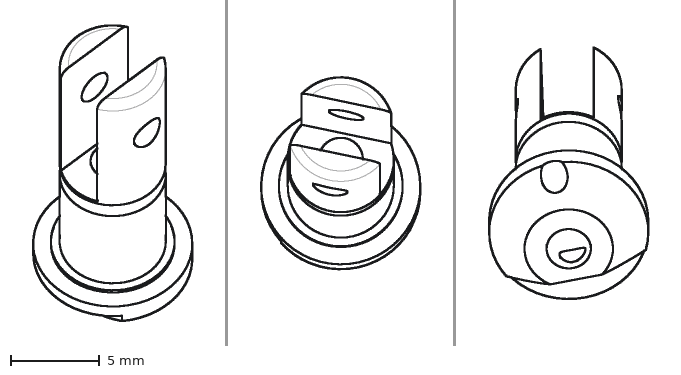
import cadquery as cq

total_height = 20.0
shaft_diameter = 6.0
shaft_radius = shaft_diameter / 2
top_fillet = 0.5
bore_diameter = 2.5

flange_diameter = 9.0
foot_chamfer = 2.0
flange_top = 3.4
shoulder_diameter = 7.0
shoulder_height = 0.2

flat_offset = 2.0
flat_height = 2.5
foot_hole_diameter = 1.5
foot_hole_z = 1.5

slot_width = 3.0
slot_floor = 11.0
fork_angle = 10.0
pin_diameter = 2.0
pin_z = 16.4

groove_bottom = 9.8
groove_width = 1.0
groove_top = groove_bottom + groove_width
groove_depth = 0.4


def cylinder(diameter, bottom, top):
    return cq.Workplane("XY").workplane(offset=bottom).circle(diameter / 2).extrude(top - bottom)


def make_body():
    foot = cylinder(flange_diameter, 0, flange_top).faces("<Z").chamfer(foot_chamfer)
    shoulder = cylinder(shoulder_diameter, foot_chamfer, flange_top + shoulder_height)
    shaft = cylinder(shaft_diameter, foot_chamfer, total_height).faces(">Z").edges().fillet(top_fillet)
    return foot.union(shoulder).union(shaft)


def make_groove():
    return (
        cq.Workplane("XZ")
        .moveTo(shaft_radius, groove_bottom)
        .threePointArc(
            (shaft_radius - groove_depth, groove_bottom + groove_width / 2),
            (shaft_radius, groove_top),
        )
        .close()
        .revolve(360, (0, 0, 0), (0, 1, 0))
    )


def make_foot_flat():
    return (
        cq.Workplane("XY")
        .box(flange_diameter, flange_diameter, flat_height, centered=(True, False, False))
        .translate((0, -flat_offset - flange_diameter, 0))
    )


def make_foot_hole():
    hole = cq.Workplane("XZ").center(0, foot_hole_z).circle(foot_hole_diameter / 2)
    return hole.extrude(flange_diameter, both=True)


def make_fork_cut():
    slot = (
        cq.Workplane("XY")
        .box(slot_width, flange_diameter, total_height - slot_floor, centered=(True, True, False))
        .translate((0, 0, slot_floor))
    )
    pin_hole = cq.Workplane("YZ").center(0, pin_z).circle(pin_diameter / 2)
    pin_hole = pin_hole.extrude(shaft_diameter, both=True)
    return slot.union(pin_hole).rotate((0, 0, 0), (0, 0, 1), fork_angle)


result = (
    make_body()
    .cut(make_groove())
    .cut(make_foot_flat())
    .cut(make_foot_hole())
    .cut(make_fork_cut())
    .cut(cylinder(bore_diameter, 0, total_height))
)